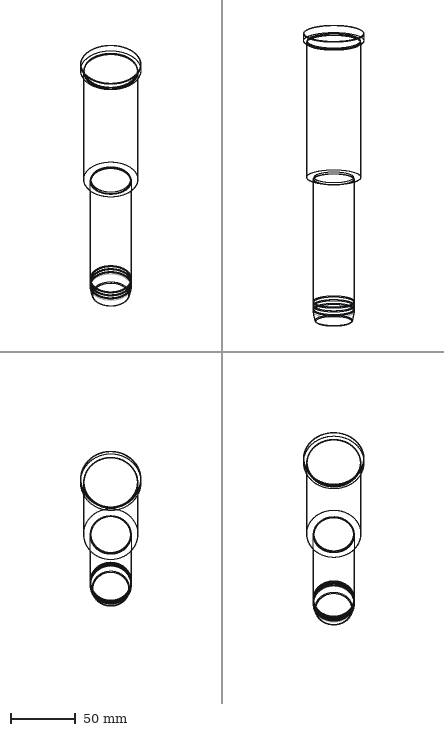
import cadquery as cq

total_length = 231.0
head_diameter = 47.0
head_thickness = 6.0
head_chamfer = 0.5
body_diameter = 42.0
body_bottom_z = 115.5
pin_diameter = 31.9

relief_depth = 0.5
relief_flat = 1.0
relief_slope = 0.7

neck_length = 1.6
neck_depth = 0.7

groove_radius = 0.5
first_groove_z = 9.5
groove_pitch = 3.0
groove_count = 3

nose_length = 7.6
nose_diameter = 29.0
nose_bulge = 0.12
tip_chamfer = 0.7

head_radius = head_diameter / 2
body_radius = body_diameter / 2
pin_radius = pin_diameter / 2
nose_radius = nose_diameter / 2
head_bottom_z = total_length - head_thickness
neck_radius = pin_radius - neck_depth
neck_bottom_z = body_bottom_z - neck_length
relief_floor_radius = body_radius - relief_depth
relief_floor_z = head_bottom_z - relief_flat

nose_middle = ((pin_radius + nose_radius) / 2 + nose_bulge, (nose_length + tip_chamfer) / 2)
profile = (
    cq.Workplane("XZ")
    .lineTo(nose_radius - tip_chamfer, 0)
    .lineTo(nose_radius, tip_chamfer)
    .threePointArc(nose_middle, (pin_radius, nose_length))
)

for index in range(groove_count):
    groove_z = first_groove_z + index * groove_pitch
    profile = profile.lineTo(pin_radius, groove_z - groove_radius).threePointArc(
        (pin_radius - groove_radius, groove_z),
        (pin_radius, groove_z + groove_radius),
    )

profile = (
    profile.lineTo(pin_radius, neck_bottom_z)
    .lineTo(neck_radius, neck_bottom_z)
    .lineTo(neck_radius, body_bottom_z)
)

profile = (
    profile.lineTo(body_radius, body_bottom_z)
    .lineTo(body_radius, relief_floor_z - relief_slope)
    .lineTo(relief_floor_radius, relief_floor_z)
    .lineTo(relief_floor_radius, head_bottom_z)
)

profile = (
    profile.lineTo(head_radius, head_bottom_z)
    .lineTo(head_radius, total_length - head_chamfer)
    .lineTo(head_radius - head_chamfer, total_length)
    .lineTo(0, total_length)
    .close()
)

result = profile.revolve(360, (0, 0, 0), (0, 1, 0))